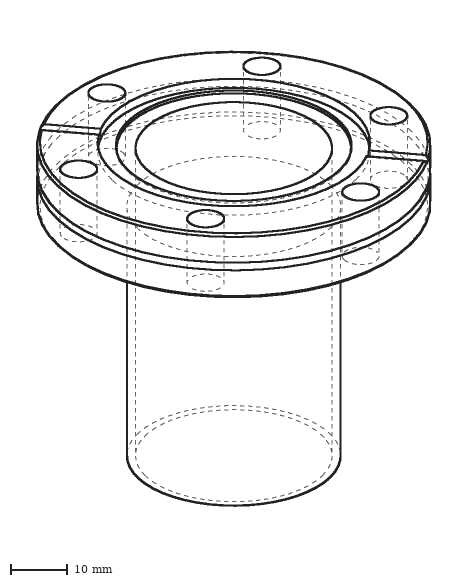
import cadquery as cq
import math

height = 63.0
flange_radius = 34.95
flange_thickness = 12.85
edge_chamfer = 0.5

tube_radius = 19.0
bore_radius = 17.5

recess_radius = 24.2
recess_depth = 1.8
knife_radius = 21.0
knife_slope = 20.0
knife_step = 0.5
knife_flank = 0.15

rim_groove_width = 1.55
rim_groove_depth = 0.35

bolt_count = 6
bolt_circle_radius = 29.35
bolt_hole_diameter = 6.6

leak_groove_width = 2.25
leak_groove_depth = 0.6
leak_groove_angle = 30.0

flange_bottom = height - flange_thickness
rim_groove_z = height - flange_thickness / 2
recess_z = height - recess_depth
knife_z = recess_z + (recess_radius - knife_radius) * math.tan(math.radians(knife_slope))
inner_floor_z = knife_z - knife_step


def revolved_body():
    """Flange and tube as one revolved section (radius, height)."""
    chamfer_radius = flange_radius - edge_chamfer
    groove_bottom = rim_groove_z - rim_groove_width / 2
    groove_top = rim_groove_z + rim_groove_width / 2
    groove_floor = (flange_radius - rim_groove_depth, rim_groove_z)
    return (
        cq.Workplane("XZ")
        .moveTo(bore_radius, 0)
        .lineTo(tube_radius, 0)
        .lineTo(tube_radius, flange_bottom)
        .lineTo(chamfer_radius, flange_bottom)
        .lineTo(flange_radius, flange_bottom + edge_chamfer)
        .lineTo(flange_radius, groove_bottom)
        .threePointArc(groove_floor, (flange_radius, groove_top))
        .lineTo(flange_radius, height - edge_chamfer)
        .lineTo(chamfer_radius, height)
        .lineTo(recess_radius, height)
        .lineTo(recess_radius, recess_z)
        .lineTo(knife_radius, knife_z)
        .lineTo(knife_radius - knife_flank, inner_floor_z)
        .lineTo(bore_radius, inner_floor_z)
        .close()
        .revolve(360, (0, 0), (0, 1))
    )


def bolt_holes():
    return (
        cq.Workplane("XY")
        .workplane(offset=flange_bottom)
        .polarArray(bolt_circle_radius, 0, 360, bolt_count)
        .circle(bolt_hole_diameter / 2)
        .extrude(flange_thickness)
    )


def leak_groove(angle):
    """Round-bottomed radial groove from the recess out through the rim."""
    half_width = leak_groove_width / 2
    radius = (half_width**2 + leak_groove_depth**2) / (2 * leak_groove_depth)
    return (
        cq.Workplane("YZ", origin=(knife_radius, 0, height - leak_groove_depth + radius))
        .circle(radius)
        .extrude(flange_radius - knife_radius)
        .rotate((0, 0, 0), (0, 0, 1), angle)
    )


result = revolved_body().cut(bolt_holes())
for angle in (leak_groove_angle, leak_groove_angle + 180):
    result = result.cut(leak_groove(angle))